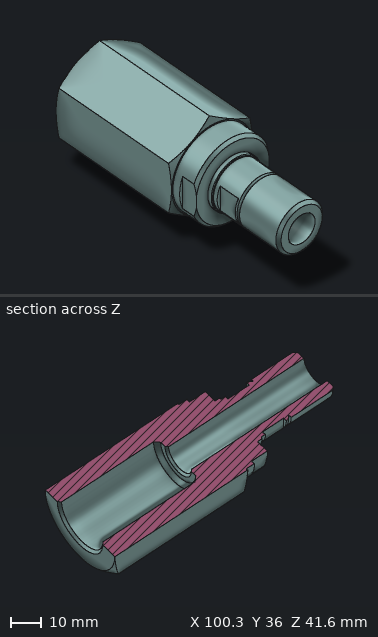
import cadquery as cq
import math

total_length = 100.3

hex_across_flats = 36.0
hex_across_corners = hex_across_flats / math.cos(math.radians(30))
hex_length = 56.6
hex_face_diameter = 35.8
hex_chamfer_angle = 27.0

flange_diameter = 34.8
flange_length = 10.0
flange_chamfer = 1.2
flange_flat_width = 32.1
flange_flat_length = 6.7

collar_diameter = 22.1
collar_length = 2.0
collar_chamfer = 0.3
shaft_diameter = 20.7
shaft_chamfer = 1.2
shaft_flat_width = 18.0
shaft_flat_start = 70.4
shaft_flat_length = 8.8
groove_depth = 1.2
groove_end = 81.3

socket_diameter = 21.3
socket_mouth_diameter = 23.3
socket_depth = 40.1
socket_floor_diameter = 18.0
bore_diameter = 11.8
bore_mouth_diameter = 13.5

flange_end = hex_length + flange_length
collar_end = flange_end + collar_length


def revolve_about_x(profile):
    """Revolve a closed profile of (x, radius) points about the X axis."""
    return cq.Workplane("XY").polyline(profile).close().revolve(360, (0, 0, 0), (1, 0, 0))


def make_hex_body():
    prism = (
        cq.Workplane("YZ")
        .polygon(6, hex_across_corners)
        .extrude(hex_length)
        .rotate((0, 0, 0), (1, 0, 0), 90)
    )
    face_radius = hex_face_diameter / 2
    corner_radius = hex_across_corners / 2
    chamfer_length = (corner_radius - face_radius) * math.tan(math.radians(hex_chamfer_angle))
    envelope = revolve_about_x([
        (0, 0),
        (0, face_radius),
        (chamfer_length, corner_radius),
        (hex_length - chamfer_length, corner_radius),
        (hex_length, face_radius),
        (hex_length, 0),
    ])
    return prism.intersect(envelope)


def make_turned_end():
    flange_radius = flange_diameter / 2
    collar_radius = collar_diameter / 2
    shaft_radius = shaft_diameter / 2
    return revolve_about_x([
        (hex_length, 0),
        (hex_length, flange_radius),
        (flange_end - flange_chamfer, flange_radius),
        (flange_end, flange_radius - flange_chamfer),
        (flange_end, collar_radius),
        (collar_end - collar_chamfer, collar_radius),
        (collar_end, collar_radius - collar_chamfer),
        (collar_end, shaft_radius),
        (groove_end - groove_depth, shaft_radius),
        (groove_end, shaft_radius - groove_depth),
        (groove_end, shaft_radius),
        (total_length - shaft_chamfer, shaft_radius),
        (total_length, shaft_radius - shaft_chamfer),
        (total_length, 0),
    ])


def wrench_flat_cutters(start, length, width, diameter):
    """Two blocks that leave parallel flats, width apart, facing -Y and +Y."""
    block = cq.Workplane("XY").box(length, diameter, diameter, centered=(False, False, True))
    upper = block.translate((start, width / 2, 0))
    return upper.union(upper.mirror("XZ"))


def make_bore():
    """Countersunk socket with a conical bottom, then a countersunk through bore."""
    socket_radius = socket_diameter / 2
    mouth_radius = socket_mouth_diameter / 2
    floor_radius = socket_floor_diameter / 2
    bore_radius = bore_diameter / 2
    bore_mouth_radius = bore_mouth_diameter / 2
    floor_x = socket_depth + socket_radius - floor_radius
    return revolve_about_x([
        (0, 0),
        (0, mouth_radius),
        (mouth_radius - socket_radius, socket_radius),
        (socket_depth, socket_radius),
        (floor_x, floor_radius),
        (floor_x, bore_mouth_radius),
        (floor_x + bore_mouth_radius - bore_radius, bore_radius),
        (total_length, bore_radius),
        (total_length, 0),
    ])


flange_flats = wrench_flat_cutters(
    flange_end - flange_flat_length, flange_flat_length, flange_flat_width, flange_diameter
)
shaft_flats = wrench_flat_cutters(
    shaft_flat_start, shaft_flat_length, shaft_flat_width, shaft_diameter
)

result = (
    make_hex_body()
    .union(make_turned_end())
    .cut(flange_flats)
    .cut(shaft_flats)
    .cut(make_bore())
)